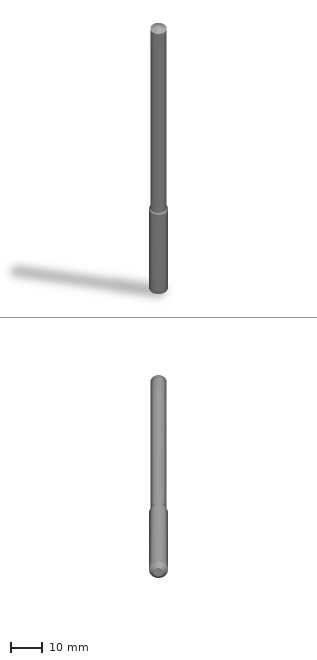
import cadquery as cq

total_length = 116.0
shank_diameter = 6.0
tool_diameter = 5.2
shank_length = 36.5
joint_height = 46.0
tip_height = 0.9
end_diameter = 3.1
end_taper_height = 1.4
shoulder_rise = 0.3

shank_radius = shank_diameter / 2
tool_radius = tool_diameter / 2
end_radius = end_diameter / 2


def revolve_about_z(profile):
    """Turn a closed (radius, height) outline about the Z axis."""
    return cq.Workplane("XZ").polyline(profile).close().revolve(360, (0, 0, 0), (0, 1, 0))


def make_shank():
    """Shank with a tapered bottom end, a bevelled shoulder and a slimmer neck."""
    return revolve_about_z([
        (0, 0),
        (end_radius, 0),
        (shank_radius, end_taper_height),
        (shank_radius, shank_length - shoulder_rise),
        (tool_radius, shank_length),
        (tool_radius, joint_height),
        (0, joint_height),
    ])


def make_cutting_section():
    """Plain cylinder standing on the neck, ending in a shallow conical tip."""
    return revolve_about_z([
        (0, joint_height),
        (tool_radius, joint_height),
        (tool_radius, total_length - tip_height),
        (0, total_length),
    ])


shank = make_shank()
cutting_section = make_cutting_section()

result = cq.Compound.makeCompound([shank.val(), cutting_section.val()])